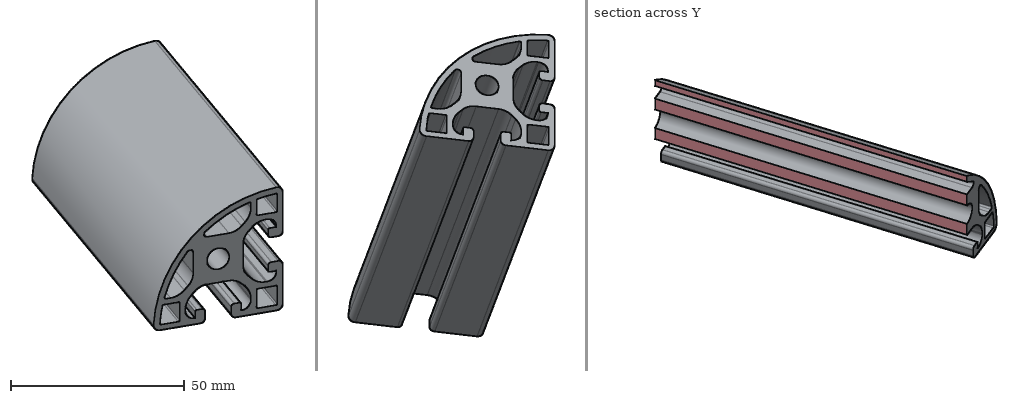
import cadquery as cq
import math

length = 100.0
size = 40.0
center = size / 2
corner_round = 2.0

wall = 1.8
skin = 2.0
inner_radius = size - skin
chamber_end = 8.1
chamber_round = 0.4

slot_opening = 8.0
lip_depth = 4.6
undercut_width = 14.2
undercut_depth = 2.0
slot_width = 20.2
undercut_round = 2.9
slot_depth = 12.3
lip_outer_round = 1.5
lip_inner_round = 1.0
lip_ledge_round = 0.5

web_width = 3.0
web_offset = web_width / math.sqrt(2)
lobe_round = 6.0
core_round = 5.5

pocket_tip_round = 1.0
pocket_corner_round = 0.5
core_hole_diameter = 6.8


def prism(outline):
    return cq.Workplane("XY").polyline(outline).close().extrude(length)


def round_edge(body, point, radius):
    """Round the lengthwise edge nearest to a profile point."""
    edge_middle = (*point, length / 2)
    return body.edges(cq.selectors.NearestToPointSelector(edge_middle)).fillet(radius)


def both_sides(body):
    """The body together with its mirror image across the diagonal."""
    return body.union(body.mirror(cq.Vector(1, -1, 0)))


def cylinder(radius):
    return cq.Workplane("XY").circle(radius).extrude(length)


def make_envelope():
    square = cq.Workplane("XY").rect(size, size, centered=False).extrude(length)
    return square.intersect(cylinder(size)).edges("|Z").fillet(corner_round)


def make_square_chamber():
    side = chamber_end - wall
    chamber = cq.Workplane("XY").rect(side, side, centered=False).extrude(length)
    return chamber.translate((wall, wall, 0)).edges("|Z").fillet(chamber_round)


def make_curved_chamber():
    """Chamber at the upper corner, closed by the curved skin."""
    bottom = size - chamber_end
    chamber = prism([(wall, bottom), (chamber_end, bottom), (chamber_end, size), (wall, size)])
    return chamber.intersect(cylinder(inner_radius)).edges("|Z").fillet(chamber_round)


def make_slot():
    """T-slot opening through the x = 0 face."""
    half_width = slot_width / 2
    half_floor = center - slot_depth - web_offset
    web_start = center - half_width - web_offset
    half = [
        (0, slot_opening / 2, 0),
        (lip_depth, slot_opening / 2, 0),
        (lip_depth, undercut_width / 2, 0),
        (undercut_depth, undercut_width / 2, 0),
        (undercut_depth, half_width, undercut_round),
        (web_start, half_width, lobe_round),
        (slot_depth, half_floor, core_round),
    ]
    upper = [(x, center + y) for x, y, _ in half]
    lower = [(x, center - y) for x, y, _ in reversed(half)]
    slot = prism(upper + lower)
    for x, y, radius in half:
        if radius:
            slot = round_edge(slot, (x, center + y), radius)
            slot = round_edge(slot, (x, center - y), radius)
    return slot


def make_pocket():
    """Closed pocket above the core, between a diagonal web and the curved skin."""
    left = center - slot_width / 2
    bottom = size - slot_depth
    web_sum = size + web_offset
    lobe_corner = (left, web_sum - left)
    core_corner = (web_sum - bottom, bottom)
    tip = (math.sqrt(inner_radius**2 - bottom**2), bottom)
    top = (left, math.sqrt(inner_radius**2 - left**2))
    pocket = prism([lobe_corner, core_corner, (size, bottom), (size, size), (left, size)])
    pocket = pocket.intersect(cylinder(inner_radius))
    pocket = round_edge(pocket, lobe_corner, lobe_round)
    pocket = round_edge(pocket, core_corner, core_round)
    pocket = round_edge(pocket, tip, pocket_tip_round)
    return round_edge(pocket, top, pocket_corner_round)


def round_lips(body):
    """Round the lip corners on both sides of each slot."""
    for side in (-1, 1):
        mouth = center + side * slot_opening / 2
        ledge = center + side * undercut_width / 2
        lip_corners = [
            (0, mouth, lip_outer_round),
            (lip_depth, mouth, lip_inner_round),
            (lip_depth, ledge, lip_ledge_round),
        ]
        for depth, position, radius in lip_corners:
            body = round_edge(body, (depth, position), radius)
            body = round_edge(body, (position, depth), radius)
    return body


core_hole = cylinder(core_hole_diameter / 2).translate((center, center, 0))

profile = make_envelope().cut(both_sides(make_slot()))
profile = round_lips(profile)
profile = profile.cut(make_square_chamber()).cut(core_hole)
profile = profile.cut(both_sides(make_curved_chamber())).cut(both_sides(make_pocket()))

lying = cq.Plane(origin=(length / 2, center, -center), xDir=(0, -1, 0), normal=(-1, 0, 0))
result = cq.Workplane("XY").newObject([profile.val().moved(cq.Location(lying))])